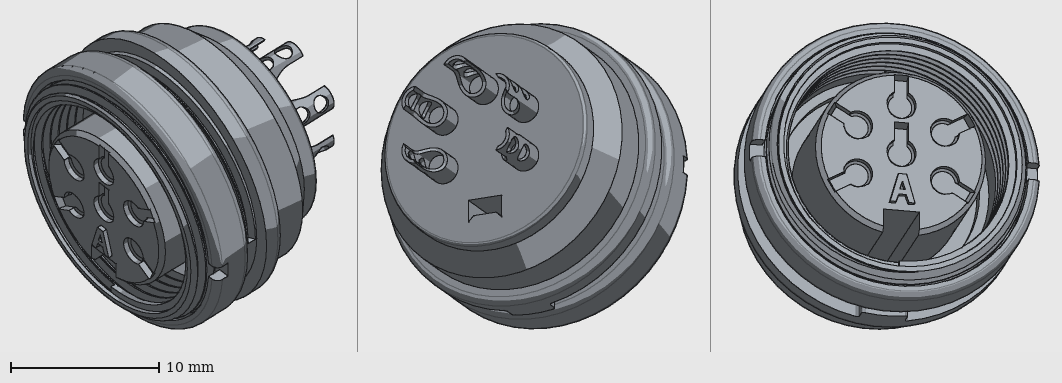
import cadquery as cq
import math


TAG_TIP = 8.8
BODY_BACK = 4.15
COLLAR_FRONT = 2.95
CONE_FRONT = 1.5
FLANGE_BACK = -1.15
FLANGE_FRONT = -2.65
RING_BACK = -4.1
RING_FRONT = -7.15
SHELL_FRONT = -8.15
INSERT_FRONT = -8.48
LETTER_FRONT = -8.8

COLLAR_DIA = 15.1
BARREL_DIA = 18.0
FLANGE_DIA = 20.0
COLLAR_EDGE_FILLET = 0.2
RIM_FILLET = 0.5
SHELL_CHAMFER = 0.55

THREAD_DEPTH = 0.5
GROOVE_MOUTH = 0.7
GROOVE_FLOOR = 0.15
GROOVE_OVERCUT = 0.05
OUTER_THREAD_END = -3.1
OUTER_THREAD_LENGTH = 6.0
OUTER_THREAD_TURNS = 8
PITCH = OUTER_THREAD_LENGTH / OUTER_THREAD_TURNS
INNER_THREAD_DEPTH = 0.45
INNER_THREAD_TURNS = 5.5

MOUTH_DIA = 16.2
MOUTH_DEPTH = 0.3
MOUTH_FLOOR = SHELL_FRONT + MOUTH_DEPTH
BORE_DIA = 15.2
BORE_FLOOR = -2.0
RECESS_DIA = 13.9
RECESS_FLOOR = -1.2

TAB_WIDTH = 3.2
TAB_LENGTH = 1.0
TAB_FILLET = 0.2

RING_BORE_DIA = 18.3
SPANNER_SLOT_WIDTH = 1.2
RING_RECESS_DEPTH = 1.0
RING_RECESS_FLOOR = RING_FRONT + RING_RECESS_DEPTH

INSERT_DIA = 11.8
INSERT_CHAMFER = 0.32
KEYWAY_WIDTH = 2.48
KEYWAY_TOP = -4.2
KEY_TOP = -5.35
KEY_CHAMFER = 0.4

CONTACT_CIRCLE_RADIUS = 3.48
CONTACT_ANGLES = (-30, 30, 90, 150, 210)
SOCKET_DIA = 2.0
SOCKET_FLOOR_DIA = 1.65
SOCKET_DEPTH = 0.5
SOCKET_TAPER_LENGTH = 0.1
SOCKET_SLOT_WIDTH = 0.98
SOCKET_SLOT_REACH = 2.18
SOCKET_SLOT_SLOPE = 0.28

TAG_DIA = 2.0
TAG_BORE_DIA = 1.5
TAG_BORE_BOTTOM = 5.0
TAG_FLAT_OFFSET = 0.5
TAG_SCOOP_RADIUS = 1.6
TAG_FLAT_END = 7.4
TAG_HOLE_DIA = 1.2
TAG_HOLE_STATIONS = (7.78, 6.08)

LETTER_TOP = -1.65
LETTER_BOTTOM = -3.7
LETTER_TOP_HALF_WIDTH = 0.28
LETTER_FOOT_OUTER = 0.85
LETTER_FOOT_INNER = 0.45
LETTER_BAR_BOTTOM = -3.15
LETTER_BAR_HALF_WIDTH = 0.25
LETTER_EYE_TOP = -2.2
LETTER_EYE_BOTTOM = -2.75
LETTER_EYE_HALF_WIDTH = 0.18


def disc(diameter, back, front):
    """Cylinder on the Y axis between two stations."""
    return cq.Workplane("XZ", origin=(0, back, 0)).circle(diameter / 2).extrude(back - front)


def box(x_range, y_range, z_range):
    """Block given by its limits along X, Y and Z."""
    limits = (x_range, y_range, z_range)
    sizes = [high - low for low, high in limits]
    middle = tuple((high + low) / 2 for low, high in limits)
    return cq.Workplane("XY").box(*sizes).translate(middle)


def thread_groove(surface_radius, depth, front, turns, start_angle):
    """Right-hand helical V groove; a positive depth cuts outward, a negative one inward.

    The groove starts at the front station, turned about Y from +X by start_angle.
    """
    mouth = surface_radius - math.copysign(GROOVE_OVERCUT, depth)
    floor = surface_radius + depth
    helix = cq.Wire.makeHelix(PITCH, PITCH * turns, surface_radius)
    profile = cq.Workplane("XZ").polyline([
        (mouth, -GROOVE_MOUTH / 2),
        (mouth, GROOVE_MOUTH / 2),
        (floor, GROOVE_FLOOR / 2),
        (floor, -GROOVE_FLOOR / 2),
    ]).close()
    groove = profile.sweep(cq.Workplane(obj=helix), isFrenet=True)
    along_y = groove.rotate((0, 0, 0), (1, 0, 0), -90)
    return along_y.rotate((0, 0, 0), (0, 1, 0), start_angle).translate((0, front, 0))


def turned(outline):
    """Solid turned about the Y axis from (radius, station) points."""
    return cq.Workplane("XY").polyline(outline).close().revolve(360, (0, 0, 0), (0, 1, 0))


def make_back():
    """Unthreaded rear of the shell: collar, cone, barrel and flange."""
    collar_radius = COLLAR_DIA / 2
    barrel_radius = BARREL_DIA / 2
    back = turned([
        (0, BODY_BACK),
        (collar_radius, BODY_BACK),
        (collar_radius, COLLAR_FRONT),
        (barrel_radius, CONE_FRONT),
        (barrel_radius, FLANGE_FRONT),
        (0, FLANGE_FRONT),
    ]).faces(">Y").edges().fillet(COLLAR_EDGE_FILLET)
    flange = disc(FLANGE_DIA, FLANGE_BACK, FLANGE_FRONT).faces(">Y").edges().fillet(RIM_FILLET)
    return back.union(flange)


def make_threads():
    """The two exposed lengths of outer thread, behind the ring nut and in front of it."""
    barrel_radius = BARREL_DIA / 2
    thread_start = OUTER_THREAD_END - OUTER_THREAD_LENGTH
    bar = disc(BARREL_DIA, FLANGE_FRONT, thread_start - PITCH)
    bar = bar.cut(thread_groove(barrel_radius, -THREAD_DEPTH, thread_start, OUTER_THREAD_TURNS, 0))
    rear_length = bar.intersect(disc(FLANGE_DIA, FLANGE_FRONT, RING_BACK))
    nose = turned([
        (0, RING_RECESS_FLOOR),
        (barrel_radius, RING_RECESS_FLOOR),
        (barrel_radius, SHELL_FRONT + SHELL_CHAMFER),
        (barrel_radius - SHELL_CHAMFER, SHELL_FRONT),
        (0, SHELL_FRONT),
    ])
    return rear_length, bar.intersect(nose)


def make_tab():
    """Locating tab at the bottom of the flange front, filleted at its root and rounded at its end."""
    tab_front = FLANGE_FRONT - TAB_LENGTH
    half_width = TAB_WIDTH / 2
    arc_inset = TAB_FILLET * (1 - math.sqrt(0.5))
    plan = cq.Workplane("XY").moveTo(0, FLANGE_FRONT).lineTo(half_width + TAB_FILLET, FLANGE_FRONT)
    plan = plan.threePointArc(
        (half_width + arc_inset, FLANGE_FRONT - arc_inset),
        (half_width, FLANGE_FRONT - TAB_FILLET),
    )
    plan = plan.lineTo(half_width, tab_front + TAB_FILLET).threePointArc(
        (half_width - arc_inset, tab_front + arc_inset),
        (half_width - TAB_FILLET, tab_front),
    )
    block = plan.lineTo(0, tab_front).mirrorY().extrude(-FLANGE_DIA / 2)
    band = disc(FLANGE_DIA, FLANGE_FRONT, tab_front).cut(disc(BARREL_DIA, FLANGE_FRONT, tab_front))
    return block.intersect(band)


def make_ring():
    """Ring nut with a recessed front and two spanner slots, solid where it holds the shell thread."""
    ring = disc(FLANGE_DIA, RING_BACK, RING_FRONT).edges().fillet(RIM_FILLET)
    ring = ring.cut(disc(RING_BORE_DIA, RING_RECESS_FLOOR, RING_FRONT))
    half_width = SPANNER_SLOT_WIDTH / 2
    slot_y = (RING_FRONT, RING_RECESS_FLOOR)
    for x_range in ((-FLANGE_DIA / 2, -BARREL_DIA / 2), (BARREL_DIA / 2, FLANGE_DIA / 2)):
        ring = ring.cut(box(x_range, slot_y, (-half_width, half_width)))
    return ring


def make_cavity():
    """Stepped annular space that surrounds the insert."""
    cavity = disc(RECESS_DIA, RECESS_FLOOR, SHELL_FRONT)
    cavity = cavity.union(disc(BORE_DIA, BORE_FLOOR, SHELL_FRONT))
    return cavity.union(disc(MOUTH_DIA, MOUTH_FLOOR, SHELL_FRONT))


def make_inner_groove():
    """Inner thread groove, starting at the bottom of the bore, level with the floor of the mouth."""
    return thread_groove(BORE_DIA / 2, INNER_THREAD_DEPTH, MOUTH_FLOOR, INNER_THREAD_TURNS, 90)


def make_socket():
    """Tapered contact recess with a slot running along +X, at the middle of the insert."""
    floor = INSERT_FRONT + SOCKET_DEPTH
    recess = disc(SOCKET_DIA, floor, INSERT_FRONT).faces(">Y").edges()
    recess = recess.chamfer(SOCKET_TAPER_LENGTH, (SOCKET_DIA - SOCKET_FLOOR_DIA) / 2)
    slot = cq.Workplane("XY").polyline([
        (0, INSERT_FRONT),
        (SOCKET_SLOT_REACH, INSERT_FRONT),
        (SOCKET_SLOT_REACH - SOCKET_SLOT_SLOPE, floor),
        (0, floor),
    ]).close().extrude(SOCKET_SLOT_WIDTH / 2, both=True)
    return recess.union(slot)


def place_contact(contact, angle, radius):
    """Move a contact shape out along +X, then turn it about Y so that +Z is at 90 degrees."""
    return contact.translate((radius, 0, 0)).rotate((0, 0, 0), (0, 1, 0), -angle)


def make_insert():
    """Insert with a keyway along its bottom and six contact recesses."""
    insert = disc(INSERT_DIA, RECESS_FLOOR, INSERT_FRONT).faces("<Y").edges().chamfer(INSERT_CHAMFER)
    half_width = KEYWAY_WIDTH / 2
    keyway = box((-half_width, half_width), (INSERT_FRONT, RECESS_FLOOR), (-INSERT_DIA / 2, KEYWAY_TOP))
    insert = insert.cut(keyway)
    socket = make_socket()
    insert = insert.cut(place_contact(socket, 90, 0))
    for angle in CONTACT_ANGLES:
        insert = insert.cut(place_contact(socket, angle, CONTACT_CIRCLE_RADIUS))
    return insert


def make_window():
    """Opening through the shell behind the keyway, closed at its bottom by a chamfered key."""
    half_width = KEYWAY_WIDTH / 2
    outline = cq.Workplane("XZ", origin=(0, BODY_BACK, 0)).polyline([
        (-half_width, KEYWAY_TOP),
        (half_width, KEYWAY_TOP),
        (half_width, KEY_TOP - KEY_CHAMFER),
        (half_width - KEY_CHAMFER, KEY_TOP),
        (KEY_CHAMFER - half_width, KEY_TOP),
        (-half_width, KEY_TOP - KEY_CHAMFER),
    ]).close()
    return outline.extrude(BODY_BACK - RECESS_FLOOR)


def make_tag():
    """Hollow solder tag on the Y axis, scooped away on its -X side and cross-drilled along X."""
    radius = TAG_DIA / 2
    tag = disc(TAG_DIA, TAG_TIP, BODY_BACK).cut(disc(TAG_BORE_DIA, TAG_TIP, TAG_BORE_BOTTOM))
    scoop_centre_x = TAG_FLAT_OFFSET - TAG_SCOOP_RADIUS
    scoop_end = TAG_FLAT_END - math.sqrt(TAG_SCOOP_RADIUS**2 - (radius + scoop_centre_x)**2)
    halfway = math.radians(45)
    scoop_middle = (
        scoop_centre_x + TAG_SCOOP_RADIUS * math.cos(halfway),
        TAG_FLAT_END - TAG_SCOOP_RADIUS * math.sin(halfway),
    )
    scoop = cq.Workplane("XY").moveTo(-radius, TAG_TIP).lineTo(TAG_FLAT_OFFSET, TAG_TIP)
    scoop = scoop.lineTo(TAG_FLAT_OFFSET, TAG_FLAT_END).threePointArc(scoop_middle, (-radius, scoop_end))
    tag = tag.cut(scoop.close().extrude(radius, both=True))
    for station in TAG_HOLE_STATIONS:
        hole = cq.Workplane("YZ", origin=(0, station, 0)).circle(TAG_HOLE_DIA / 2).extrude(radius)
        tag = tag.cut(hole)
    return tag


def make_letter():
    """Raised A below the middle contact."""
    half = [
        (LETTER_TOP_HALF_WIDTH, LETTER_TOP),
        (LETTER_FOOT_OUTER, LETTER_BOTTOM),
        (LETTER_FOOT_INNER, LETTER_BOTTOM),
        (LETTER_BAR_HALF_WIDTH, LETTER_BAR_BOTTOM),
    ]
    other_half = [(-x, z) for x, z in reversed(half)]
    eye = [
        (0, LETTER_EYE_TOP),
        (LETTER_EYE_HALF_WIDTH, LETTER_EYE_BOTTOM),
        (-LETTER_EYE_HALF_WIDTH, LETTER_EYE_BOTTOM),
    ]
    outline = cq.Workplane("XZ", origin=(0, INSERT_FRONT, 0)).polyline(half + other_half).close()
    return outline.polyline(eye).close().extrude(INSERT_FRONT - LETTER_FRONT)


cavity = make_cavity()
rear_thread, front_thread = make_threads()
front_shell = rear_thread.union(make_tab()).union(make_ring()).union(front_thread)
front_shell = front_shell.cut(cavity).cut(make_inner_groove())

rear = make_back().cut(cavity).cut(make_window())
rear = rear.union(make_insert()).union(make_letter())
solder_tag = make_tag()
for tag_angle in CONTACT_ANGLES:
    rear = rear.union(place_contact(solder_tag, tag_angle, CONTACT_CIRCLE_RADIUS))

result = rear.union(front_shell, glue=True)